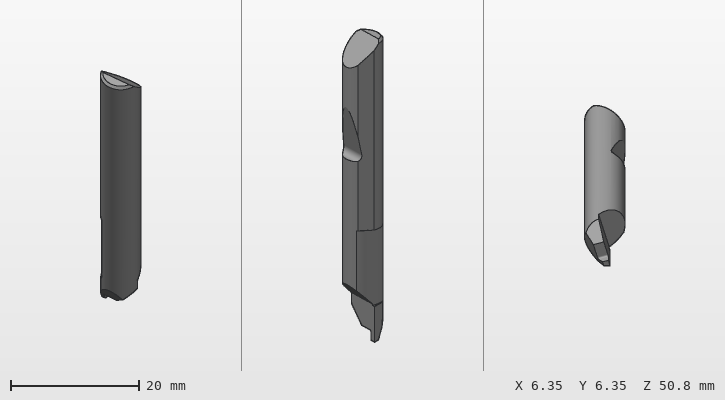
import cadquery as cq
import math

length = 50.8
diameter = 6.35
radius = diameter / 2
top_chamfer = 0.4
clear = 2 * diameter

end_slope_start_y = -1.3
notch_floor_z = 30.75
notch_end_z = 39.45
notch_angle = 10.0
notch_fillet = 1.0

flat_depth = 0.25
flat_angle = 155.0

neck_bottom_z = 6.05
neck_top_z = 19.05
neck_reach = 2.6
neck_arc_radius = 5.1

rake_y = -0.05
rake_top_z = 6.3
tip_width = 1.0
tip_end_depth = 1.0
tip_end_rise = 0.1
front_slope_z = 4.8
side_slope_z = 4.45
tip_step_z = 1.7
tip_step_fillet = 0.3
relief_slope_top = 0.4
relief_slope_bottom = 0.3


def prism_along_x(points):
    return cq.Workplane("YZ").polyline(points).close().extrude(clear, both=True)


def prism_along_y(points):
    return cq.Workplane("XZ").polyline(points).close().extrude(clear, both=True)


def sloped_end():
    """45 degree cut across the top of the shank."""
    run = clear - end_slope_start_y
    return prism_along_x([(end_slope_start_y, length), (clear, length), (clear, length - run)])


def clamping_notch():
    """Shallow ramp ending in a filleted floor."""
    depth = (notch_end_z - notch_floor_z) * math.tan(math.radians(notch_angle))
    corner_y = radius - depth
    outer_y = radius + depth
    outer_z = notch_end_z + notch_end_z - notch_floor_z
    notch = prism_along_x([(corner_y, notch_floor_z), (outer_y, notch_floor_z), (outer_y, outer_z)])
    return notch.edges("|X").edges("<Y").fillet(notch_fillet)


def side_flat():
    """Block beyond the flat, turned about the shank axis."""
    block = cq.Workplane("XY").box(clear, clear, length, centered=(False, True, False))
    return block.translate((radius - flat_depth, 0, 0)).rotate((0, 0, 0), (0, 0, 1), flat_angle)


def neck_relief():
    """Material outside a gently curved face, between the neck ends."""
    height = neck_top_z - neck_bottom_z
    outside = cq.Workplane("XY").box(clear, diameter, height, centered=(True, True, False))
    outside = outside.translate((-clear / 2, 0, 0))
    core = cq.Workplane("XY").center(neck_arc_radius - neck_reach, 0).circle(neck_arc_radius)
    return outside.cut(core.extrude(height)).translate((0, 0, neck_bottom_z))


def rake_cut():
    """Half of the tip removed above the rake face, with a 45 degree run-out on +Y."""
    return prism_along_x([
        (rake_y, 0),
        (rake_y, rake_top_z),
        (rake_y + clear, rake_top_z + clear),
        (rake_y + clear, 0),
    ])


def front_slope():
    """Sloping clearance face on the -Y side and slightly rising tip end."""
    return prism_along_x([
        (-radius, 0),
        (-radius, front_slope_z),
        (-tip_end_depth, tip_end_rise),
        (rake_y, 0),
    ])


def tip_step():
    """End face set back beside the tip, with a 45 degree side slope."""
    tip_x = tip_width - radius
    slope_start_x = radius - (side_slope_z - tip_step_z)
    step = prism_along_y([
        (tip_x, -clear),
        (tip_x, tip_step_z),
        (slope_start_x, tip_step_z),
        (slope_start_x + clear, tip_step_z + clear),
        (slope_start_x + clear, -clear),
    ])
    corner = cq.selectors.NearestToPointSelector((tip_x, 0, tip_step_z))
    return step.edges("|Y").edges(corner).fillet(tip_step_fillet)


def tip_relief():
    """Twisted clearance face running back from the cutting edge on -X."""
    def section(slope):
        return [(-radius, 0), (-radius + slope * radius, -radius), (-radius, -radius)]

    lower = cq.Workplane("XY").polyline(section(relief_slope_bottom)).close()
    upper = lower.workplane(offset=neck_bottom_z).polyline(section(relief_slope_top)).close()
    return upper.loft(ruled=True)


result = cq.Workplane("XY").circle(radius).extrude(length).faces(">Z").chamfer(top_chamfer)
result = result.cut(rake_cut()).cut(front_slope()).cut(tip_step()).cut(tip_relief())
result = result.cut(side_flat())
result = result.cut(neck_relief()).cut(sloped_end()).cut(clamping_notch())